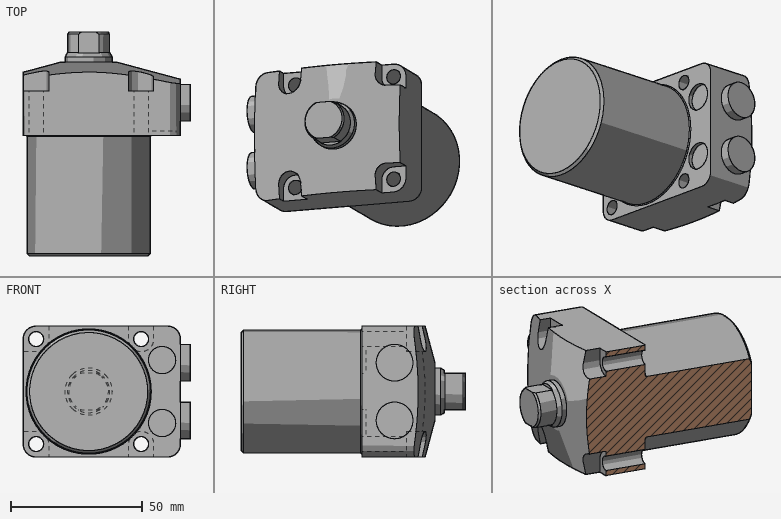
import cadquery as cq
import math


block_width = 60.0
block_height = 50.0
corner_radius = 5.0
cylinder_x = 25.0

crown_height = 28.0
crown_flat_radius = 10.7
crown_slope = math.radians(15)
crown_base_radius = 60.0

barrel_radius = 23.5
barrel_length = 46.0
barrel_chamfer = 1.0
barrel_root_chamfer = 0.4

hole_inset = 5.0
hole_pitch = block_height - 2 * hole_inset
hole_diameter = 5.6
seat_radius = 4.8
seat_level = 17.0
near_hole_x = hole_inset
far_hole_x = hole_inset + hole_pitch

port_x = 53.0
port_z = 12.0
port_diameter = 10.4
port_depth = 1.7

plug_y = 12.5
plug_z = 11.0
plug_diameter = 14.0
plug_length = 3.8

collar_radius = 9.0
collar_length = 2.0
rod_radius = 8.0
rod_length = 11.5
rod_chamfer_radial = 0.5
rod_chamfer_axial = rod_chamfer_radial * math.sqrt(3)
shoulder_length = (collar_radius - rod_radius) * math.sqrt(3)
flats_width = 14.0
flats_start = 3.5


def cylinder_along_y(x, z, y_start, y_end, radius):
    axis_start = cq.Vector(x, y_start, z)
    return cq.Workplane(cq.Solid.makeCylinder(radius, y_end - y_start, axis_start, cq.Vector(0, 1, 0)))


def revolve_about_cylinder_axis(profile):
    """Turn a profile of (radius, Y) points about the barrel and rod axis."""
    points = [(cylinder_x + radius, y) for radius, y in profile]
    outline = cq.Workplane("XY").polyline(points).close()
    return outline.revolve(360, (cylinder_x, 0, 0), (cylinder_x, 1, 0))


def make_block():
    """Rounded rectangular block cut to the conical crown."""
    block = (
        cq.Workplane("XY")
        .box(block_width, crown_height, block_height, centered=(False, False, True))
        .edges("|Y")
        .fillet(corner_radius)
    )
    crown_drop = (crown_base_radius - crown_flat_radius) * math.tan(crown_slope)
    crown = revolve_about_cylinder_axis([
        (0, 0),
        (crown_base_radius, 0),
        (crown_base_radius, crown_height - crown_drop),
        (crown_flat_radius, crown_height),
        (0, crown_height),
    ])
    return block.intersect(crown)


def make_barrel():
    return revolve_about_cylinder_axis([
        (0, 0),
        (barrel_radius + barrel_root_chamfer, 0),
        (barrel_radius, -barrel_root_chamfer),
        (barrel_radius, -barrel_length + barrel_chamfer),
        (barrel_radius - barrel_chamfer, -barrel_length),
        (0, -barrel_length),
    ])


def make_screw_seat(x, side):
    """Screw head space open to the nearest edges; side is +1 for the upper edge and -1 for the lower."""
    hole_z = side * hole_pitch / 2
    seat_height = crown_height - seat_level
    seat = cylinder_along_y(x, hole_z, seat_level, crown_height, seat_radius)

    slot_run = hole_inset
    slot = cq.Workplane("XY").box(2 * seat_radius, seat_height, slot_run)
    seat_middle = seat_level + seat_height / 2
    seat = seat.union(slot.translate((x, seat_middle, side * (block_height - slot_run) / 2)))

    if x == near_hole_x:
        corner_height = slot_run + seat_radius
        corner = cq.Workplane("XY").box(near_hole_x, seat_height, corner_height)
        corner_z = side * (block_height - corner_height) / 2
        seat = seat.union(corner.translate((near_hole_x / 2, seat_middle, corner_z)))
    return seat


def make_housing():
    housing = make_block().union(make_barrel())
    for side in (1, -1):
        for x in (near_hole_x, far_hole_x):
            hole = cylinder_along_y(x, side * hole_pitch / 2, 0, crown_height, hole_diameter / 2)
            housing = housing.cut(hole).cut(make_screw_seat(x, side))
        housing = housing.cut(cylinder_along_y(port_x, side * port_z, 0, port_depth, port_diameter / 2))
    return housing


def make_rod():
    """Stepped rod end standing on the crown, with two wrench flats facing +Z and -Z."""
    rod_tip = crown_height + rod_length
    shoulder_start = crown_height + collar_length
    rod = revolve_about_cylinder_axis([
        (0, crown_height),
        (collar_radius, crown_height),
        (collar_radius, shoulder_start),
        (rod_radius, shoulder_start + shoulder_length),
        (rod_radius, rod_tip - rod_chamfer_axial),
        (rod_radius - rod_chamfer_radial, rod_tip),
        (0, rod_tip),
    ])
    flats_length = rod_length - flats_start
    flats_middle = rod_tip - flats_length / 2
    cutter_height = collar_radius
    for side in (1, -1):
        cutter = cq.Workplane("XY").box(2 * collar_radius, flats_length, cutter_height)
        cutter_z = side * (flats_width + cutter_height) / 2
        rod = rod.cut(cutter.translate((cylinder_x, flats_middle, cutter_z)))
    return rod


def make_plug(z):
    face = cq.Workplane("YZ", origin=(block_width, plug_y, z))
    return face.circle(plug_diameter / 2).extrude(plug_length)


housing = make_housing()
rod = make_rod()
plugs = [make_plug(side * plug_z) for side in (1, -1)]

result = cq.Compound.makeCompound([
    housing.val(),
    rod.val(),
    *[plug.val() for plug in plugs],
])